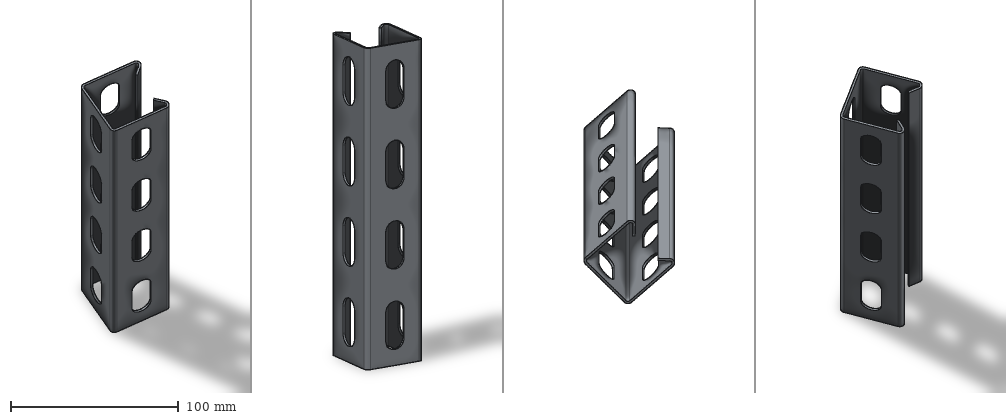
import cadquery as cq
import math

width = 40.0
depth = 40.0
length = 200.0

thickness = 1.5
bend_radius = 3.0
lip_length = 7.0
lip_angle = 45.0

slot_width = 13.0
slot_length = 30.0
slot_count = 4
slot_pitch = length / slot_count


def polar(center, radius, angle):
    """Point at an angle in degrees on a circle."""
    a = math.radians(angle)
    return (center[0] + radius * math.cos(a), center[1] + radius * math.sin(a))


def half_channel():
    """The +X half of the folded strip, from mid-web to the lip tip."""
    inner_radius = bend_radius - thickness
    half_width = width / 2
    half_depth = depth / 2
    center_x = half_width - bend_radius
    center_y = half_depth - bend_radius
    web_bend = (center_x, -center_y)
    lip_bend = (center_x, center_y)

    lip_start = 180 - lip_angle
    lip_heading = lip_start + 90
    outer_start = polar(lip_bend, bend_radius, lip_start)
    inner_start = polar(lip_bend, inner_radius, lip_start)

    profile = (
        cq.Workplane("XY")
        .moveTo(0, -half_depth)
        .lineTo(center_x, -half_depth)
        .threePointArc(polar(web_bend, bend_radius, -45), (half_width, -center_y))
        .lineTo(half_width, center_y)
        .threePointArc(polar(lip_bend, bend_radius, lip_start / 2), outer_start)
        .lineTo(*polar(outer_start, lip_length, lip_heading))
        .lineTo(*polar(inner_start, lip_length, lip_heading))
        .lineTo(*inner_start)
        .threePointArc(
            polar(lip_bend, inner_radius, lip_start / 2),
            (half_width - thickness, center_y),
        )
        .lineTo(half_width - thickness, -center_y)
        .threePointArc(
            polar(web_bend, inner_radius, -45),
            (center_x, thickness - half_depth),
        )
        .lineTo(0, thickness - half_depth)
        .close()
    )
    return profile.extrude(length)


def slot_cutters(plane, reach):
    """Row of vertical slots, cut to the given reach on both sides of the plane."""
    first_slot = slot_pitch / 2
    centers = [(0, first_slot + i * slot_pitch) for i in range(slot_count)]
    return (
        cq.Workplane(plane)
        .pushPoints(centers)
        .slot2D(slot_length, slot_width, 90)
        .extrude(reach, both=True)
    )


half = half_channel()
channel = half.union(half.mirror("YZ"))

result = channel.cut(slot_cutters("XZ", depth)).cut(slot_cutters("YZ", width))